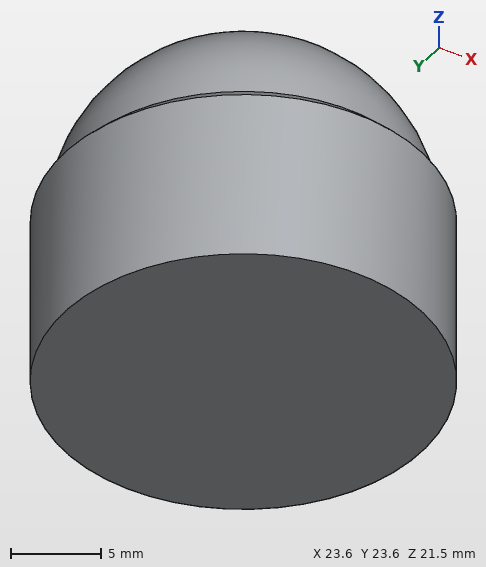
import cadquery as cq
import math

body_radius = 11.8
total_height = 21.5
wall_height = 11.0
chamfer = 0.87

dome_base_radius = body_radius - chamfer
dome_base_z = wall_height + chamfer
dome_height = total_height - dome_base_z
sphere_radius = (dome_base_radius**2 + dome_height**2) / (2 * dome_height)
sphere_center_z = total_height - sphere_radius

base_angle = math.atan2(dome_base_z - sphere_center_z, dome_base_radius)
mid_angle = (base_angle + math.pi / 2) / 2
dome_mid_point = (
    sphere_radius * math.cos(mid_angle),
    sphere_center_z + sphere_radius * math.sin(mid_angle),
)

half_profile = (
    cq.Workplane("XZ")
    .lineTo(body_radius, 0)
    .lineTo(body_radius, wall_height)
    .lineTo(dome_base_radius, dome_base_z)
    .threePointArc(dome_mid_point, (0, total_height))
    .close()
)
result = half_profile.revolve(360, (0, 0, 0), (0, 1, 0))